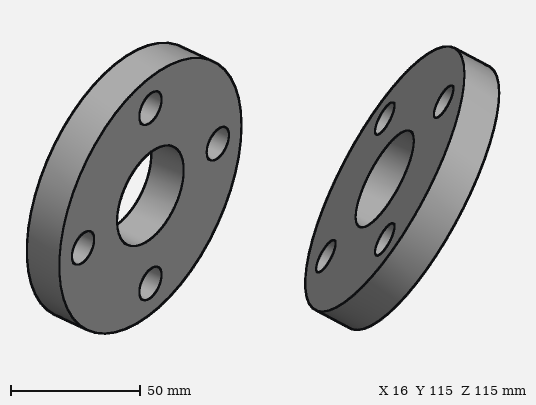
import cadquery as cq

outer_diameter = 115.0
thickness = 16.0
bore_diameter = 42.0
bolt_hole_diameter = 14.0
bolt_circle_diameter = 85.0
bolt_hole_count = 4

disc = (
    cq.Workplane("YZ")
    .circle(outer_diameter / 2)
    .circle(bore_diameter / 2)
    .extrude(thickness)
)

bolt_holes = (
    cq.Workplane("YZ")
    .polarArray(bolt_circle_diameter / 2, 0, 360, bolt_hole_count)
    .circle(bolt_hole_diameter / 2)
    .extrude(thickness)
)

result = disc.cut(bolt_holes)